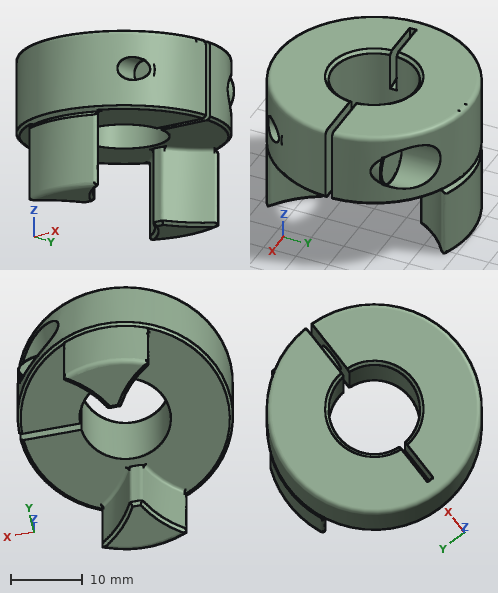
import cadquery as cq
import math


outer_radius = 15.0
hub_height = 11.35
total_height = 22.5
jaw_length = total_height - hub_height
bore_radius = 6.35
bore_chamfer = 0.5
rim_fillet = 0.7

jaw_angles = (0, 180)
jaw_inner_radius = 7.55
flank_radius = 14.4
flank_center = (13.7, 1.0)
jaw_edge_fillet = 0.5
jaw_root_fillet = 0.5
jaw_tip_chamfer = 0.5
jaw_tip_fillet = 0.7

groove_depth = 0.6
groove_half_width = 0.6
groove_z = -0.17

slit_width = 1.0
relief_reach = 12.76
relief_floor_radius = 19.0
relief_crest_x = -10.8
relief_crest_z = hub_height / 2

screw_x = 10.3
screw_below_top = 5.6
screw_z = hub_height - screw_below_top
screw_diameter = 4.0
screw_length = 12.0
head_diameter = 7.0
head_height = 4.0
head_end_y = 7.5
head_chamfer = 0.2
tap_diameter = 3.3
head_seat_y = head_end_y - head_height
screw_tip_y = head_seat_y - screw_length


def flank_angle(radius, inset=0.0):
    """Direction, seen from the flank centre, of the point that lies at the given radius
    from the coupling axis and at the given inset behind the flank of the +Y jaw."""
    axis_distance = math.hypot(*flank_center)
    point_distance = flank_radius + inset
    squares = axis_distance**2 + point_distance**2 - radius**2
    cosine = squares / (2 * axis_distance * point_distance)
    to_axis = math.atan2(-flank_center[1], -flank_center[0])
    return to_axis - math.acos(cosine)


def flank_point(angle):
    return (
        flank_center[0] + flank_radius * math.cos(angle),
        flank_center[1] + flank_radius * math.sin(angle),
    )


def mirrored(point):
    return -point[0], point[1]


def arc_middle_offset(radius):
    """Distance from each tangent line of a quarter-round fillet to the middle of its arc."""
    return radius * (1 - math.sqrt(0.5))


def make_jaw():
    """The +Y jaw, hanging down from the hub face."""
    inner_angle = flank_angle(jaw_inner_radius)
    outer_angle = flank_angle(outer_radius)
    inner_corner = flank_point(inner_angle)
    outer_corner = flank_point(outer_angle)
    flank_middle = flank_point((inner_angle + outer_angle) / 2)
    jaw = (
        cq.Workplane("XY")
        .moveTo(*inner_corner)
        .threePointArc(flank_middle, outer_corner)
        .threePointArc((0, outer_radius), mirrored(outer_corner))
        .threePointArc(mirrored(flank_middle), mirrored(inner_corner))
        .threePointArc((0, jaw_inner_radius), inner_corner)
        .close()
        .extrude(-jaw_length)
    )
    inner_and_flanks = cq.selectors.BoxSelector(
        (-outer_radius, 0, -jaw_length - jaw_tip_chamfer),
        (outer_radius, outer_corner[1], -jaw_length + jaw_tip_chamfer),
    )
    jaw = jaw.edges(inner_and_flanks).chamfer(jaw_tip_chamfer)
    return jaw.edges("|Z").fillet(jaw_edge_fillet)


def make_root_fillet():
    """Material that rounds the corner between the hub face and the +X flank of the +Y jaw."""
    start = flank_angle(outer_radius - jaw_edge_fillet, jaw_edge_fillet)
    end = flank_angle(jaw_inner_radius + jaw_edge_fillet, jaw_edge_fillet)
    radial = (math.cos(start), math.sin(start), 0)
    normal = (math.sin(start), -math.cos(start), 0)
    section = cq.Plane(origin=(*flank_center, 0), xDir=radial, normal=normal)
    r = jaw_root_fillet
    arc_dip = arc_middle_offset(r)
    return (
        cq.Workplane(section)
        .moveTo(flank_radius - r, 0)
        .lineTo(flank_radius, 0)
        .lineTo(flank_radius, -r)
        .threePointArc((flank_radius - arc_dip, -arc_dip), (flank_radius - r, 0))
        .close()
        .revolve(math.degrees(end - start), (0, 0, 0), (0, 1, 0))
    )


def make_envelope():
    """Turned outline of hub and jaws: rounded rims and the V groove between them."""
    tip_dip = arc_middle_offset(jaw_tip_fillet)
    rim_dip = arc_middle_offset(rim_fillet)
    return (
        cq.Workplane("XZ")
        .moveTo(0, -jaw_length)
        .lineTo(outer_radius - jaw_tip_fillet, -jaw_length)
        .threePointArc(
            (outer_radius - tip_dip, -jaw_length + tip_dip),
            (outer_radius, -jaw_length + jaw_tip_fillet),
        )
        .lineTo(outer_radius, groove_z - groove_half_width)
        .lineTo(outer_radius - groove_depth, groove_z)
        .lineTo(outer_radius, groove_z + groove_half_width)
        .lineTo(outer_radius, hub_height - rim_fillet)
        .threePointArc(
            (outer_radius - rim_dip, hub_height - rim_dip),
            (outer_radius - rim_fillet, hub_height),
        )
        .lineTo(0, hub_height)
        .close()
        .revolve(360, (0, 0, 0), (0, 1, 0))
    )


def cut_bore(hub):
    bore = cq.Workplane("XY").circle(bore_radius).extrude(hub_height)
    hub = hub.cut(bore)
    cone = (
        cq.Workplane("XY", origin=(0, 0, hub_height))
        .circle(bore_radius + bore_chamfer)
        .workplane(offset=-bore_chamfer)
        .circle(bore_radius)
        .loft()
    )
    return hub.cut(cone)


def cut_slits(hub):
    clamping_slit = (
        cq.Workplane("XY", origin=(outer_radius / 2, 0, hub_height / 2))
        .box(outer_radius, slit_width, hub_height)
    )
    relief = (
        cq.Workplane("XY", origin=(-relief_reach / 2, 0, hub_height / 2))
        .box(relief_reach, slit_width, hub_height)
    )
    floor = (
        cq.Workplane("XZ", origin=(relief_crest_x, 0, relief_crest_z - relief_floor_radius))
        .circle(relief_floor_radius)
        .extrude(slit_width, both=True)
    )
    return hub.cut(clamping_slit).cut(relief.cut(floor))


def screw_axis_cylinder(diameter, y_start, y_end):
    """Cylinder on the screw axis, between two Y positions."""
    plane = cq.Plane(origin=(screw_x, y_start, screw_z), xDir=(1, 0, 0), normal=(0, 1, 0))
    return cq.Workplane(plane).circle(diameter / 2).extrude(y_end - y_start)


def make_screw():
    shank = screw_axis_cylinder(screw_diameter, screw_tip_y, head_seat_y)
    head = screw_axis_cylinder(head_diameter, head_seat_y, head_end_y)
    return shank.union(head.faces(">Y").chamfer(head_chamfer)).solids()


def cut_screw_holes(hub):
    head_recess = screw_axis_cylinder(head_diameter, head_seat_y, outer_radius)
    shank_hole = screw_axis_cylinder(screw_diameter, screw_tip_y, head_seat_y)
    tap_hole = screw_axis_cylinder(tap_diameter, -outer_radius, screw_tip_y)
    return hub.cut(head_recess).cut(shank_hole).cut(tap_hole)


def make_hub():
    hub = cq.Workplane("XY").circle(outer_radius).extrude(hub_height)
    jaw = make_jaw()
    root_fillet = make_root_fillet()
    jaw = jaw.union(root_fillet).union(root_fillet.mirror("YZ"))
    for angle in jaw_angles:
        hub = hub.union(jaw.rotate((0, 0, 0), (0, 0, 1), angle))
    hub = hub.intersect(make_envelope())
    return cut_screw_holes(cut_slits(cut_bore(hub))).solids()


hub = make_hub()
screw = make_screw()

result = cq.Compound.makeCompound([hub.val(), screw.val()])